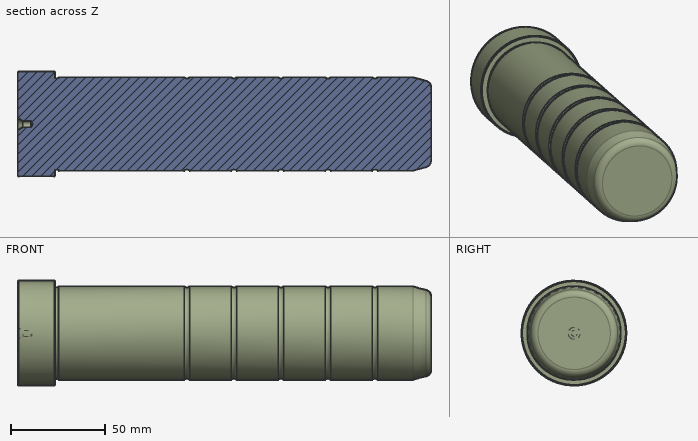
import math

import cadquery as cq

axis_start = (0, 0, 0)
axis_end = (1, 0, 0)
overall_length = 220.0
head_length = 20.0
head_radius = 28.0
head_chamfer = 0.5
shank_radius = 25.0

neck_depth = 0.5
neck_floor_length = 1.5
neck_ramp_length = 0.5

oil_groove_count = 5
oil_groove_pitch = 25.0
oil_groove_width = 3.0
oil_groove_depth = 0.7
first_oil_groove_x = 90.0

taper_start_x = 210.0
taper_angle = math.radians(15.0)
end_rounding = 4.0

pilot_radius = 1.575
pilot_depth = 7.0
pilot_tip_half_angle = math.radians(59.0)
countersink_radius = 3.15
countersink_half_angle = math.radians(30.0)


def make_head():
    head = cq.Workplane("YZ").circle(head_radius).extrude(head_length)
    return head.faces("<X or >X").edges().chamfer(head_chamfer)


def make_shank():
    neck_radius = shank_radius - neck_depth
    neck_floor_end_x = head_length + neck_floor_length
    neck_end_x = neck_floor_end_x + neck_ramp_length

    rounding_center_x = overall_length - end_rounding
    rounding_start_x = rounding_center_x + end_rounding * math.sin(taper_angle)
    rounding_start_radius = shank_radius - (rounding_start_x - taper_start_x) * math.tan(taper_angle)
    end_face_radius = rounding_start_radius - end_rounding * math.cos(taper_angle)

    outline = (
        cq.Workplane("XY")
        .moveTo(head_length, 0)
        .lineTo(head_length, neck_radius)
        .lineTo(neck_floor_end_x, neck_radius)
        .lineTo(neck_end_x, shank_radius)
        .lineTo(taper_start_x, shank_radius)
        .lineTo(rounding_start_x, rounding_start_radius)
        .tangentArcPoint((overall_length, end_face_radius), relative=False)
        .lineTo(overall_length, 0)
        .close()
    )
    return outline.revolve(360, axis_start, axis_end)


def make_oil_groove(center_x):
    half_width = oil_groove_width / 2
    arc_radius = (half_width**2 + oil_groove_depth**2) / (2 * oil_groove_depth)
    arc_center_radius = shank_radius - oil_groove_depth + arc_radius
    section = cq.Workplane("XY").moveTo(center_x, arc_center_radius).circle(arc_radius)
    return section.revolve(360, axis_start, axis_end)


def make_center_hole():
    countersink_depth = (countersink_radius - pilot_radius) / math.tan(countersink_half_angle)
    tip_depth = pilot_depth + pilot_radius / math.tan(pilot_tip_half_angle)
    outline = (
        cq.Workplane("XY")
        .lineTo(0, countersink_radius)
        .lineTo(countersink_depth, pilot_radius)
        .lineTo(pilot_depth, pilot_radius)
        .lineTo(tip_depth, 0)
        .close()
    )
    return outline.revolve(360, axis_start, axis_end)


result = make_head().union(make_shank())
for groove_index in range(oil_groove_count):
    result = result.cut(make_oil_groove(first_oil_groove_x + groove_index * oil_groove_pitch))
result = result.cut(make_center_hole())